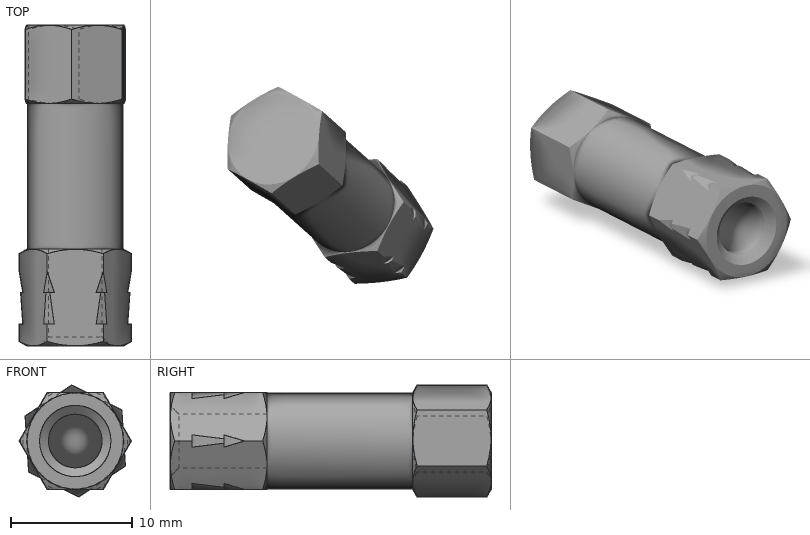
import cadquery as cq
import math

total_length = 26.5
front_nut_length = 8.0
rear_nut_length = 6.5
corner_radius = 9.25 / 2
body_diameter = 7.9
rear_nut_turn = 3.6

bevel_face_radius = 3.98
bevel_angle = 30.0

bore_diameter = 4.43
countersink_diameter = 5.88
bore_depth = front_nut_length

barb_start = 1.8
barb_step = 4.43
barb_tip = 6.15
barb_depth = 0.3
barb_step_depth = 0.1
cutter_half_width = 1.05
cutter_clearance = 0.26

hex_sides = 6
hex_pitch = 360 / hex_sides


def turned(profile):
    """Solid of revolution about Y from (radius, Y) points."""
    return cq.Workplane("XY").polyline(profile).close().revolve(360, (0, 0), (0, 1))


def hex_nut(start, length, turn):
    """Hexagonal nut along Y, bevelled at both ends; turn is measured from a corner on +X."""
    prism = (
        cq.Workplane("XZ", origin=(0, start, 0))
        .polygon(hex_sides, 2 * corner_radius)
        .extrude(-length)
        .rotate((0, 0, 0), (0, 1, 0), -turn)
    )
    bevel_length = (corner_radius - bevel_face_radius) * math.tan(math.radians(bevel_angle))
    end = start + length
    envelope = turned([
        (0, start),
        (bevel_face_radius, start),
        (corner_radius, start + bevel_length),
        (corner_radius, end - bevel_length),
        (bevel_face_radius, end),
        (0, end),
    ])
    return prism.intersect(envelope)


def barb_cutter():
    """Flat-bottomed sawtooth cutter for the corner on +X."""
    outside = corner_radius + cutter_clearance
    return (
        cq.Workplane("XY")
        .polyline([
            (outside, barb_start),
            (corner_radius - barb_depth, barb_start),
            (corner_radius - barb_step_depth, barb_step),
            (corner_radius - barb_depth, barb_step),
            (corner_radius, barb_tip),
            (outside, barb_tip),
        ])
        .close()
        .extrude(cutter_half_width, both=True)
    )


front_nut = hex_nut(0, front_nut_length, 0)
for corner in range(hex_sides):
    front_nut = front_nut.cut(barb_cutter().rotate((0, 0, 0), (0, 1, 0), corner * hex_pitch))

rear_nut = hex_nut(total_length - rear_nut_length, rear_nut_length, 90 + rear_nut_turn)

body_length = total_length - front_nut_length - rear_nut_length
body = (
    cq.Workplane("XZ", origin=(0, front_nut_length, 0))
    .circle(body_diameter / 2)
    .extrude(-body_length)
)

bore_radius = bore_diameter / 2
countersink_radius = countersink_diameter / 2
bore = turned([
    (0, 0),
    (countersink_radius, 0),
    (bore_radius, countersink_radius - bore_radius),
    (bore_radius, bore_depth),
    (0, bore_depth),
])

result = front_nut.union(body).union(rear_nut).cut(bore)